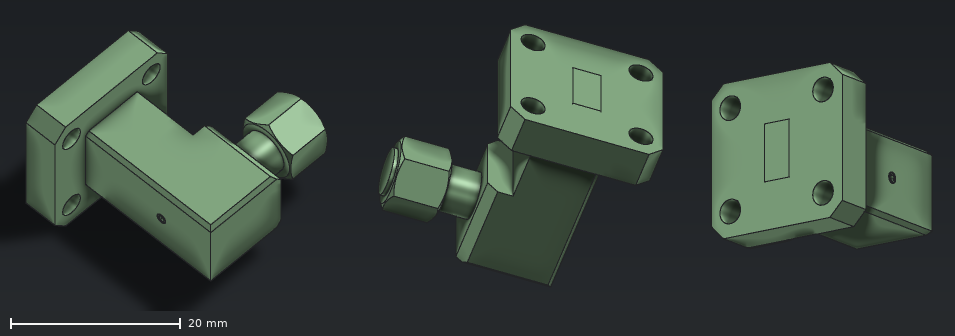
import cadquery as cq
import math


flange_size = 19.05
flange_thickness = 4.8
flange_corner = 1.8
bolt_hole_diameter = 3.0
bolt_spacing_y = 13.45
bolt_spacing_z = 12.68

total_length = 25.4
body_height = 10.4
body_width = 8.7
body_front = -body_width / 2
block_start = 14.0
block_back = 7.5
small_chamfer = 0.53
back_chamfer = 1.25

window_width = 3.55
window_height = 7.12
window_depth = flange_thickness

screw_x = 17.25
screw_diameter = 1.4
screw_length = (body_width - window_width) / 2
recess_diameter = 1.17
recess_depth = 0.03
socket_across_flats = 0.75
socket_depth = 0.55
socket_tip_diameter = 0.67
socket_tip_depth = 0.2

connector_x = 19.02
total_width = 27.93
connector_end = total_width - flange_size / 2
tube_diameter = 5.85
nut_across_flats = 7.95
nut_length = 6.37
nut_setback = 0.5
nut_face_diameter = 7.7
nut_chamfer_angle = 30


def cylinder_along_y(x, y_start, diameter, length):
    """Cylinder at height Z = 0 that starts at y_start and runs toward +Y."""
    return cq.Workplane(cq.Solid.makeCylinder(
        diameter / 2, length, cq.Vector(x, y_start, 0), cq.Vector(0, 1, 0)))


def hexagon_corner_diameter(across_flats):
    return across_flats / math.cos(math.pi / 6)


def make_flange():
    plate = (
        cq.Workplane("YZ")
        .rect(flange_size, flange_size)
        .extrude(flange_thickness)
        .edges("|X")
        .chamfer(flange_corner)
    )
    bolt_holes = (
        cq.Workplane("YZ")
        .rect(bolt_spacing_y, bolt_spacing_z, forConstruction=True)
        .vertices()
        .circle(bolt_hole_diameter / 2)
        .extrude(flange_thickness)
    )
    return plate.cut(bolt_holes)


def make_body():
    """L-shaped block whose top and bottom rims are chamfered on three sides."""
    half_height = body_height / 2
    outline = (
        cq.Workplane("XY", origin=(0, 0, -half_height))
        .polyline([
            (flange_thickness, body_front),
            (total_length, body_front),
            (total_length, block_back),
            (block_start, block_back),
            (block_start, body_width / 2),
            (flange_thickness, body_width / 2),
        ])
        .close()
        .extrude(body_height)
    )
    side_profile = (
        cq.Workplane("YZ")
        .polyline([
            (body_front, half_height - small_chamfer),
            (body_front + small_chamfer, half_height),
            (block_back - back_chamfer, half_height),
            (block_back, half_height - back_chamfer),
            (block_back, -half_height + back_chamfer),
            (block_back - back_chamfer, -half_height),
            (body_front + small_chamfer, -half_height),
            (body_front, -half_height + small_chamfer),
        ])
        .close()
        .extrude(total_length)
    )
    end_profile = (
        cq.Workplane("XZ", origin=(0, block_back, 0))
        .polyline([
            (0, half_height),
            (total_length - small_chamfer, half_height),
            (total_length, half_height - small_chamfer),
            (total_length, -half_height + small_chamfer),
            (total_length - small_chamfer, -half_height),
            (0, -half_height),
        ])
        .close()
        .extrude(block_back - body_front)
    )
    return outline.intersect(side_profile).intersect(end_profile)


def make_tube():
    return cylinder_along_y(connector_x, block_back, tube_diameter, connector_end - block_back)


def make_window():
    return cq.Workplane("YZ").rect(window_width, window_height).extrude(window_depth)


def make_screw():
    """Screw flush with the body, with a shallow round recess and a hexagon socket in its end."""
    socket_start = body_front + recess_depth
    tip_start = socket_start + socket_depth
    screw = cylinder_along_y(screw_x, body_front, screw_diameter, screw_length)
    recess = cylinder_along_y(screw_x, body_front, recess_diameter, recess_depth)
    socket = (
        cq.Workplane("XZ", origin=(screw_x, tip_start, 0))
        .polygon(6, hexagon_corner_diameter(socket_across_flats))
        .extrude(socket_depth)
    )
    tip = cq.Workplane(cq.Solid.makeCone(
        socket_tip_diameter / 2, 0, socket_tip_depth,
        cq.Vector(screw_x, tip_start, 0), cq.Vector(0, 1, 0)))
    return screw.cut(recess).cut(socket).cut(tip)


def make_nut():
    """Hexagon with corners up and down, its corners trimmed by a cone at both ends."""
    corner_radius = hexagon_corner_diameter(nut_across_flats) / 2
    face_radius = nut_face_diameter / 2
    nut_start = connector_end - nut_setback - nut_length
    nut_end = nut_start + nut_length
    trim = (corner_radius - face_radius) * math.tan(math.radians(nut_chamfer_angle))
    hexagon = (
        cq.Workplane("XZ", origin=(connector_x, nut_end, 0))
        .transformed(rotate=(0, 0, 90))
        .polygon(6, 2 * corner_radius)
        .extrude(nut_length)
    )
    envelope = (
        cq.Workplane("XY", origin=(connector_x, 0, 0))
        .polyline([
            (0, nut_start),
            (face_radius, nut_start),
            (corner_radius, nut_start + trim),
            (corner_radius, nut_end - trim),
            (face_radius, nut_end),
            (0, nut_end),
        ])
        .close()
        .revolve(360, (0, 0, 0), (0, 1, 0))
    )
    bore = cylinder_along_y(connector_x, nut_start, tube_diameter, nut_length)
    return hexagon.intersect(envelope).cut(bore)


window = make_window()
screw = make_screw()
nut = make_nut()
screw_hole = cylinder_along_y(screw_x, body_front, screw_diameter, screw_length)
housing = make_flange().union(make_body()).union(make_tube()).cut(window).cut(screw_hole)

result = cq.Compound.makeCompound([housing.val(), window.val(), screw.val(), nut.val()])